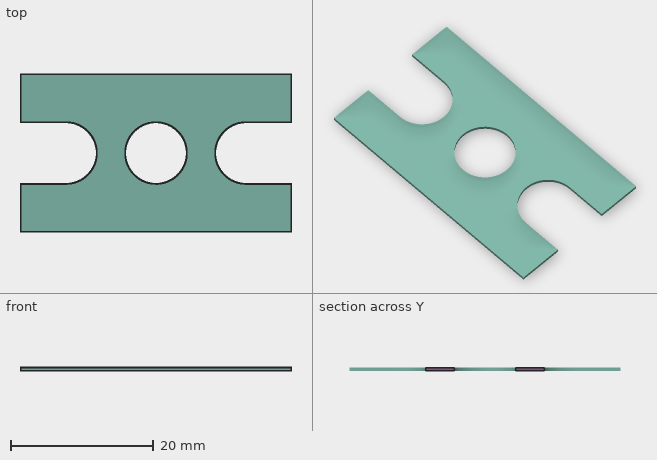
import cadquery as cq

length = 38.1
width = 22.2
thickness = 0.5

opening_diameter = 8.65
slot_depth = 10.7


def end_slot(side):
    """Round-bottomed slot open at the +X (side = 1) or -X (side = -1) end."""
    return (
        cq.Workplane("XY")
        .center(side * length / 2, 0)
        .slot2D(2 * slot_depth, opening_diameter)
        .extrude(thickness)
    )


plate = cq.Workplane("XY").box(length, width, thickness, centered=(True, True, False))
result = plate.faces(">Z").workplane().hole(opening_diameter)
for side in (-1, 1):
    result = result.cut(end_slot(side))